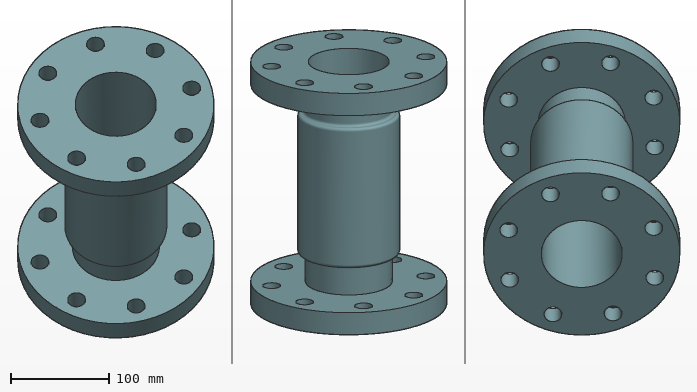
import cadquery as cq

length = 260.0
flange_diameter = 200.0
flange_thickness = 24.0

pipe_diameter = 89.0
bore_diameter = 82.5
sleeve_diameter = 104.0
sleeve_length = 150.0
sleeve_edge_radius = 3.0
sleeve_root_radius = sleeve_edge_radius

bolt_count = 8
bolt_circle_diameter = 160.0
bolt_hole_diameter = 18.0


def cylinder(diameter, height, bottom):
    """Solid cylinder on the Z axis, starting at height `bottom`."""
    return cq.Workplane("XY").workplane(offset=bottom).circle(diameter / 2).extrude(height)


def flange(bottom):
    """Flange disc with its bolt holes straddling the X and Y axes."""
    holes = (
        cq.Workplane("XY")
        .workplane(offset=bottom)
        .polarArray(bolt_circle_diameter / 2, 180 / bolt_count, 360, bolt_count)
        .circle(bolt_hole_diameter / 2)
        .extrude(flange_thickness)
    )
    return cylinder(flange_diameter, flange_thickness, bottom).cut(holes)


def sleeved_pipe():
    """Solid pipe carrying the sleeve, with rounded sleeve edges and concave roots."""
    pipe = cylinder(pipe_diameter, length, -length / 2)
    sleeve = cylinder(sleeve_diameter, sleeve_length, -sleeve_length / 2)
    body = pipe.union(sleeve)
    root_edges = body.edges(cq.selectors.RadiusNthSelector(0)).edges("not(<Z or >Z)")
    body = root_edges.fillet(sleeve_root_radius)
    outer_edges = body.edges(cq.selectors.RadiusNthSelector(-1))
    return outer_edges.fillet(sleeve_edge_radius)


lower_flange = flange(-length / 2)
upper_flange = flange(length / 2 - flange_thickness)
bore = cylinder(bore_diameter, length, -length / 2)

result = sleeved_pipe().union(lower_flange).union(upper_flange).cut(bore)